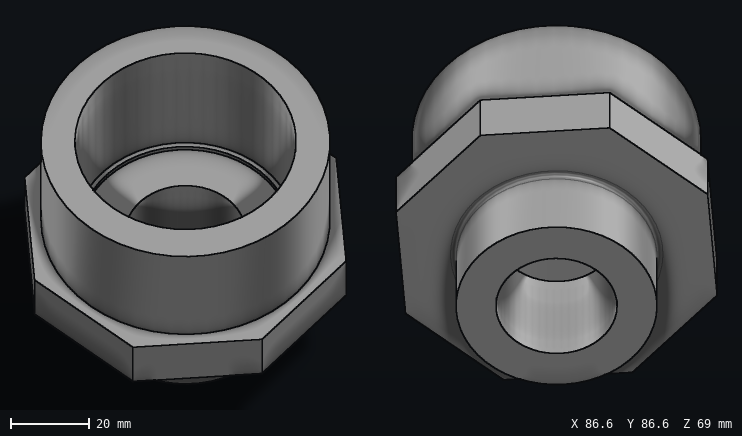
import cadquery as cq

total_height = 69.0
octagon_bottom = 21.5
octagon_height = 14.55
octagon_top = octagon_bottom + octagon_height

octagon_across_corners = 86.6
socket_diameter = 74.0
spigot_diameter = 51.4
neck_fillet = 1.5

socket_bore = 56.6
seat_diameter = 54.0
through_bore = 31.0
socket_depth = 38.0
seat_depth = 1.3

collar = (
    cq.Workplane("XY", origin=(0, 0, octagon_bottom))
    .polygon(8, octagon_across_corners)
    .extrude(octagon_height)
)

socket = (
    cq.Workplane("XY", origin=(0, 0, octagon_top))
    .circle(socket_diameter / 2)
    .extrude(total_height - octagon_top)
)
spigot = cq.Workplane("XY").circle(spigot_diameter / 2).extrude(octagon_bottom)
body = collar.union(socket).union(spigot)


def bore(diameter, depth):
    """Round cutter reaching down from the top face."""
    return (
        cq.Workplane("XY", origin=(0, 0, total_height))
        .circle(diameter / 2)
        .extrude(-depth)
    )


neck_edge = cq.selectors.BoxSelector(
    (-octagon_across_corners, -octagon_across_corners, octagon_bottom - neck_fillet),
    (octagon_across_corners, octagon_across_corners, octagon_bottom + neck_fillet),
)
body = body.edges(neck_edge).edges("%CIRCLE").fillet(neck_fillet)

result = (
    body.cut(bore(socket_bore, socket_depth))
    .cut(bore(seat_diameter, socket_depth + seat_depth))
    .cut(bore(through_bore, total_height))
)